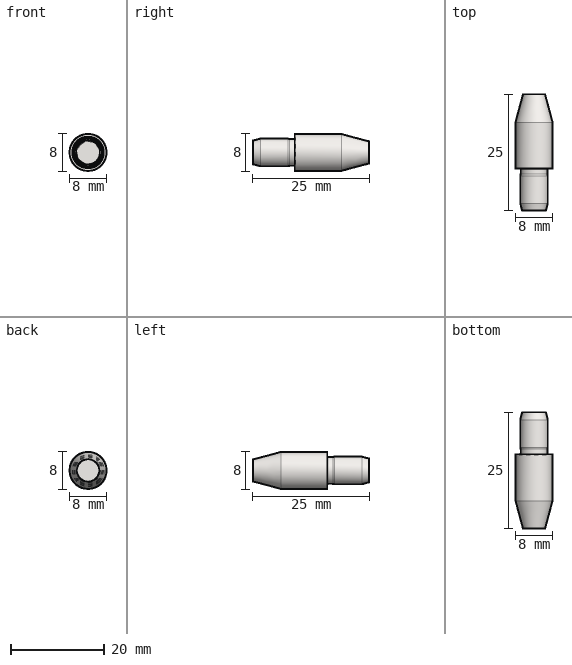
import cadquery as cq
import math

total_length = 25.0
shank_length = 9.0
nose_length = 6.0
tip_length = 1.6

body_radius = 8.0 / 2
shank_radius = 6.0 / 2
taper_angle = math.radians(15)
nose_radius = body_radius - nose_length * math.tan(taper_angle)
tip_radius = shank_radius - tip_length * math.tan(taper_angle)

relief_radius = 5.8 / 2
relief_length = 1.5
relief_fillet = 0.22
shoulder_recess_depth = 0.1
shoulder_recess_radius = 6.8 / 2

shoulder_y = shank_length
nose_start_y = total_length - nose_length
relief_end_y = shoulder_y - relief_length
relief_ramp_length = (shank_radius - relief_radius) / math.tan(taper_angle)

fillet_end_r = relief_radius + relief_fillet
fillet_end_y = shoulder_y + shoulder_recess_depth
fillet_start_y = fillet_end_y - relief_fillet
fillet_mid_offset = relief_fillet * math.sqrt(0.5)
fillet_mid = (fillet_end_r - fillet_mid_offset, fillet_start_y + fillet_mid_offset)

half_outline = (
    cq.Workplane("XY")
    .moveTo(0, 0)
    .lineTo(tip_radius, 0)
    .lineTo(shank_radius, tip_length)
    .lineTo(shank_radius, relief_end_y)
    .lineTo(relief_radius, relief_end_y + relief_ramp_length)
    .lineTo(relief_radius, fillet_start_y)
    .threePointArc(fillet_mid, (fillet_end_r, fillet_end_y))
    .lineTo(shoulder_recess_radius, shoulder_y)
    .lineTo(body_radius, shoulder_y)
    .lineTo(body_radius, nose_start_y)
    .lineTo(nose_radius, total_length)
    .lineTo(0, total_length)
    .close()
)

result = half_outline.revolve(360, (0, 0, 0), (0, 1, 0))